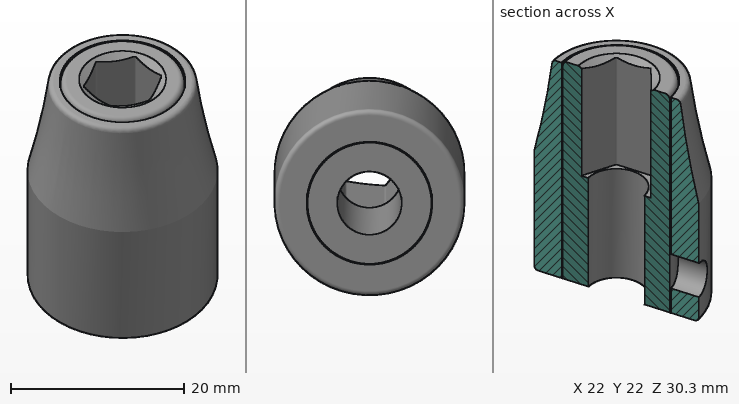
import cadquery as cq
import math

total_height = 30.3
edge_round = 0.6
clearance = 0.12

sleeve_radius = 11.0
sleeve_top_radius = 8.55
sleeve_height = 30.0
shoulder_height = 16.48
shoulder_hollow = 0.2

side_hole_radius = 2.33
side_hole_height = 5.82

insert_radius = 7.15
insert_round = 0.67
bore_radius = 3.73

hex_flats = 8.0
hex_corner_round = 0.3
hex_depth = 15.15
countersink_radius = 5.03
countersink_depth = 0.6


def make_sleeve():
    middle_radius = (sleeve_radius + sleeve_top_radius) / 2 - shoulder_hollow
    middle_height = (shoulder_height + sleeve_height) / 2
    body = (
        cq.Workplane("XZ")
        .lineTo(sleeve_radius, 0)
        .lineTo(sleeve_radius, shoulder_height)
        .threePointArc((middle_radius, middle_height), (sleeve_top_radius, sleeve_height))
        .lineTo(0, sleeve_height)
        .close()
        .revolve(360, (0, 0, 0), (0, 1, 0))
    )
    body = body.faces("<Z or >Z").edges().fillet(edge_round)
    bore = cq.Workplane("XY").circle(insert_radius + clearance).extrude(sleeve_height)
    return body.cut(bore).cut(make_side_hole())


def make_side_hole():
    return (
        cq.Workplane("XZ")
        .center(0, side_hole_height)
        .circle(side_hole_radius)
        .extrude(-sleeve_radius)
    )


def make_socket():
    corner_diameter = hex_flats / math.cos(math.pi / 6)
    return (
        cq.Workplane("XY", origin=(0, 0, total_height - hex_depth))
        .transformed(rotate=(0, 0, 90))
        .polygon(6, corner_diameter)
        .extrude(hex_depth)
        .edges("|Z")
        .fillet(hex_corner_round)
    )


def make_countersink():
    tip_radius = hex_flats / 2
    return (
        cq.Workplane("XZ", origin=(0, 0, total_height))
        .lineTo(countersink_radius, 0)
        .lineTo(tip_radius, -countersink_depth)
        .lineTo(0, -countersink_depth)
        .close()
        .revolve(360, (0, 0, 0), (0, 1, 0))
    )


def make_insert():
    body = cq.Workplane("XY").circle(insert_radius).extrude(total_height)
    body = body.faces(">Z").edges().fillet(insert_round)
    bore = cq.Workplane("XY").circle(bore_radius).extrude(total_height)
    return body.cut(bore).cut(make_socket()).cut(make_countersink())


sleeve = make_sleeve()
insert = make_insert()

result = cq.Compound.makeCompound([sleeve.val(), insert.val()])